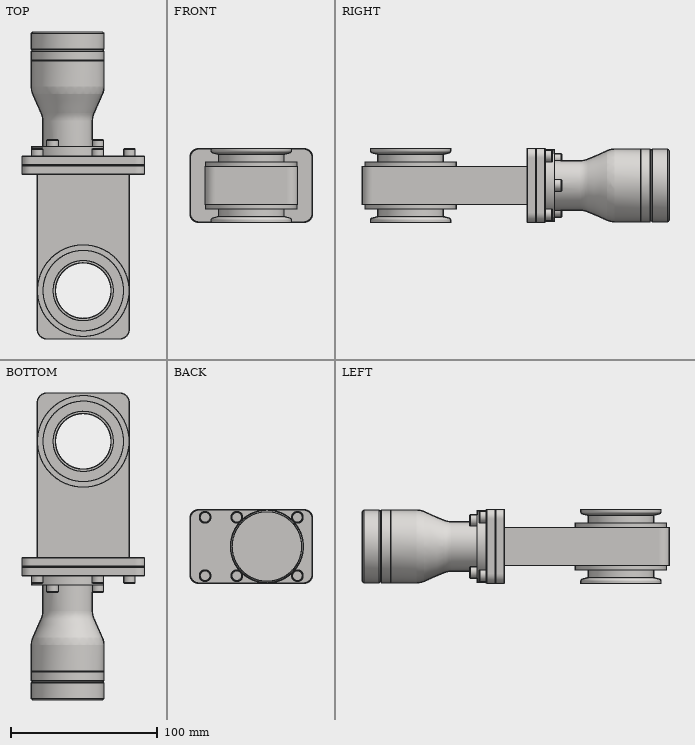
import cadquery as cq
import math


TOTAL_LENGTH = 210.3
BODY_FRONT_Y = -33.2
ACTUATOR_END_Y = BODY_FRONT_Y + TOTAL_LENGTH

BODY_WIDTH = 63.0
BODY_HEIGHT = 26.0
BODY_CORNER_RADIUS = 7.0

PLATE_WIDTH = 84.1
PLATE_HEIGHT = 50.7
PLATE_THICKNESS = 6.3
PLATE_CORNER_RADIUS = 6.3
PLATE_EDGE_CHAMFER = 0.5
PLATE_COUNT = 2
BONNET_FRONT_Y = 79.5
BONNET_BACK_Y = BONNET_FRONT_Y + PLATE_COUNT * PLATE_THICKNESS

PORT_LENGTH = PLATE_HEIGHT
PAD_RADIUS = 31.3
PAD_THICKNESS = 3.2
PORT_NECK_RADIUS = 22.5
CLAMP_RADIUS = 27.5
CLAMP_RIM_HEIGHT = 1.5
CLAMP_RIM_ROUND = 1.7
CLAMP_TAPER_ANGLE = math.radians(15)
BORE_RADIUS = 19.0
SEAL_RECESS_RADIUS = 20.6
SEAL_RECESS_DEPTH = 2.0

ACTUATOR_X = -10.7
ACTUATOR_RADIUS = 25.0
ACTUATOR_NECK_RADIUS = 17.0
ACTUATOR_FLANGE_RADIUS = 24.6
ACTUATOR_FLANGE_THICKNESS = 6.3
ACTUATOR_FLANGE_BACK_Y = BONNET_BACK_Y + ACTUATOR_FLANGE_THICKNESS
CAP_CHAMFER = 1.3
CAP_LENGTH = 11.8
CAP_GROOVE_WIDTH = 1.7
CAP_GROOVE_DEPTH = 0.8
RING_LENGTH = 5.9
RING_GROOVE_WIDTH = 0.6
RING_GROOVE_DEPTH = 0.32
SHOULDER_LENGTH = 40.2
TAPER_LENGTH = 18.0
TAPER_BLEND_RADIUS = 12.6

SCREW_HEAD_RADIUS = 4.0
SCREW_HEAD_HEIGHT = 5.0
SCREW_HEAD_CHAMFER = 0.6
FLANGE_SCREW_COUNT = 3
FLANGE_SCREW_CIRCLE_RADIUS = 20.6
BONNET_SCREW_XS = (-31.5, 9.9, 31.5)
BONNET_SCREW_Z = 20.0


def make_body():
    length = BONNET_FRONT_Y - BODY_FRONT_Y
    return (
        cq.Workplane("XY")
        .box(BODY_WIDTH, length, BODY_HEIGHT, centered=(True, False, True))
        .edges("|Z and <Y")
        .fillet(BODY_CORNER_RADIUS)
        .translate((0, BODY_FRONT_Y, 0))
    )


def make_bonnet_plate(front_y):
    return (
        cq.Workplane("XY")
        .box(PLATE_WIDTH, PLATE_THICKNESS, PLATE_HEIGHT, centered=(True, False, True))
        .edges("|Y")
        .fillet(PLATE_CORNER_RADIUS)
        .faces("<Y or >Y")
        .chamfer(PLATE_EDGE_CHAMFER)
        .translate((0, front_y, 0))
    )


def make_port_half():
    """Upper half of the port: pad, neck and clamp flange with a tapered back."""
    top = PORT_LENGTH / 2
    pad_top = BODY_HEIGHT / 2 + PAD_THICKNESS
    rim_bottom = top - CLAMP_RIM_HEIGHT

    round_center_r = CLAMP_RADIUS - CLAMP_RIM_ROUND

    def round_point(angle):
        return (
            round_center_r + CLAMP_RIM_ROUND * math.cos(angle),
            rim_bottom - CLAMP_RIM_ROUND * math.sin(angle),
        )

    round_sweep = math.pi / 2 - CLAMP_TAPER_ANGLE
    taper_start = round_point(round_sweep)
    taper_drop = (taper_start[0] - PORT_NECK_RADIUS) * math.tan(CLAMP_TAPER_ANGLE)

    return (
        cq.Workplane("XZ")
        .moveTo(0, 0)
        .lineTo(PAD_RADIUS, 0)
        .lineTo(PAD_RADIUS, pad_top)
        .lineTo(PORT_NECK_RADIUS, pad_top)
        .lineTo(PORT_NECK_RADIUS, taper_start[1] - taper_drop)
        .lineTo(*taper_start)
        .threePointArc(round_point(round_sweep / 2), (CLAMP_RADIUS, rim_bottom))
        .lineTo(CLAMP_RADIUS, top)
        .lineTo(0, top)
        .close()
        .revolve(360, (0, 0), (0, 1))
    )


def make_port_bore():
    bore = cq.Workplane("XY").circle(BORE_RADIUS).extrude(PORT_LENGTH / 2, both=True)
    recess = (
        cq.Workplane("XY")
        .workplane(offset=PORT_LENGTH / 2 - SEAL_RECESS_DEPTH)
        .circle(SEAL_RECESS_RADIUS)
        .extrude(SEAL_RECESS_DEPTH)
    )
    return bore.union(recess).union(recess.mirror("XY"))


def make_actuator():
    """Turned actuator: flange, neck, blended taper, grooved barrel and end cap."""
    taper_back_y = ACTUATOR_END_Y - SHOULDER_LENGTH
    taper_front_y = taper_back_y - TAPER_LENGTH
    cap_front_y = ACTUATOR_END_Y - CAP_LENGTH
    ring_back_y = cap_front_y - CAP_GROOVE_WIDTH
    ring_front_y = ring_back_y - RING_LENGTH
    barrel_back_y = ring_front_y - RING_GROOVE_WIDTH

    taper_angle = math.atan2(ACTUATOR_RADIUS - ACTUATOR_NECK_RADIUS, TAPER_LENGTH)
    blend_setback = TAPER_BLEND_RADIUS * math.tan(taper_angle / 2)
    neck_blend_y = taper_front_y - blend_setback
    barrel_blend_y = taper_back_y + blend_setback

    def blend_offset(angle):
        radial = TAPER_BLEND_RADIUS * (1 - math.cos(angle))
        axial = TAPER_BLEND_RADIUS * math.sin(angle)
        return radial, axial

    def neck_blend_point(angle):
        radial, axial = blend_offset(angle)
        return ACTUATOR_NECK_RADIUS + radial, neck_blend_y + axial

    def barrel_blend_point(angle):
        radial, axial = blend_offset(angle)
        return ACTUATOR_RADIUS - radial, barrel_blend_y - axial

    return (
        cq.Workplane("XY", origin=(ACTUATOR_X, 0, 0))
        .moveTo(0, BONNET_BACK_Y)
        .lineTo(ACTUATOR_FLANGE_RADIUS, BONNET_BACK_Y)
        .lineTo(ACTUATOR_FLANGE_RADIUS, ACTUATOR_FLANGE_BACK_Y)
        .lineTo(ACTUATOR_NECK_RADIUS, ACTUATOR_FLANGE_BACK_Y)
        .lineTo(ACTUATOR_NECK_RADIUS, neck_blend_y)
        .threePointArc(neck_blend_point(taper_angle / 2), neck_blend_point(taper_angle))
        .lineTo(*barrel_blend_point(taper_angle))
        .threePointArc(barrel_blend_point(taper_angle / 2), (ACTUATOR_RADIUS, barrel_blend_y))
        .lineTo(ACTUATOR_RADIUS, barrel_back_y)
        .lineTo(ACTUATOR_RADIUS - RING_GROOVE_DEPTH, barrel_back_y)
        .lineTo(ACTUATOR_RADIUS - RING_GROOVE_DEPTH, ring_front_y)
        .lineTo(ACTUATOR_RADIUS, ring_front_y)
        .lineTo(ACTUATOR_RADIUS, ring_back_y)
        .lineTo(ACTUATOR_RADIUS - CAP_GROOVE_DEPTH, ring_back_y + CAP_GROOVE_WIDTH / 2)
        .lineTo(ACTUATOR_RADIUS, cap_front_y)
        .lineTo(ACTUATOR_RADIUS, ACTUATOR_END_Y - CAP_CHAMFER)
        .lineTo(ACTUATOR_RADIUS - CAP_CHAMFER, ACTUATOR_END_Y)
        .lineTo(0, ACTUATOR_END_Y)
        .close()
        .revolve(360, (0, 0), (0, 1))
    )


def make_screw_head(x, seat_y, z):
    return (
        cq.Workplane("XZ")
        .circle(SCREW_HEAD_RADIUS)
        .extrude(-SCREW_HEAD_HEIGHT)
        .faces(">Y")
        .chamfer(SCREW_HEAD_CHAMFER)
        .translate((x, seat_y, z))
    )


def make_screw_heads():
    heads = []
    for index in range(FLANGE_SCREW_COUNT):
        angle = 2 * math.pi * index / FLANGE_SCREW_COUNT
        x = ACTUATOR_X + FLANGE_SCREW_CIRCLE_RADIUS * math.cos(angle)
        z = FLANGE_SCREW_CIRCLE_RADIUS * math.sin(angle)
        heads.append(make_screw_head(x, ACTUATOR_FLANGE_BACK_Y, z))
    for x in BONNET_SCREW_XS:
        for z in (-BONNET_SCREW_Z, BONNET_SCREW_Z):
            heads.append(make_screw_head(x, BONNET_BACK_Y, z))
    return heads


result = make_body()
for plate_index in range(PLATE_COUNT):
    result = result.union(make_bonnet_plate(BONNET_FRONT_Y + plate_index * PLATE_THICKNESS))

upper_port = make_port_half()
result = result.union(upper_port).union(upper_port.mirror("XY"))
result = result.union(make_actuator())
for head in make_screw_heads():
    result = result.union(head)
result = result.cut(make_port_bore())